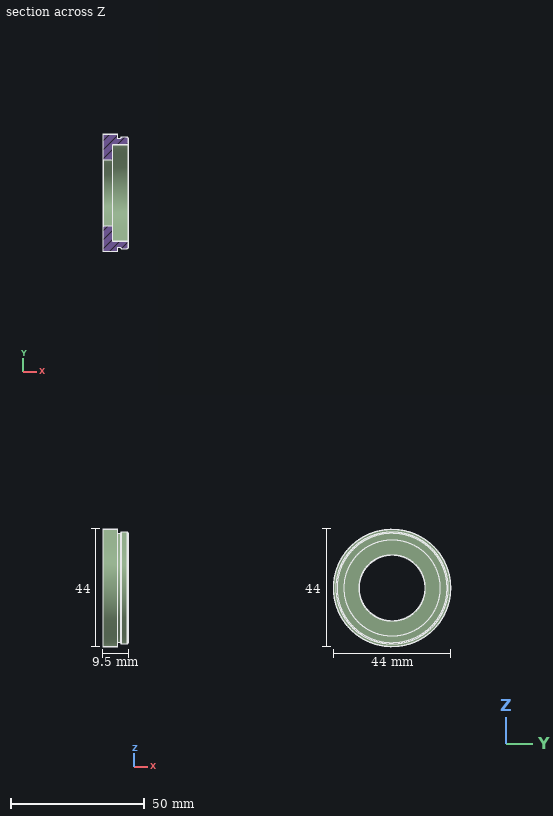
import cadquery as cq

flange_end = 5.45
neck_end = 6.5
total_length = 9.5

flange_diameter = 44
neck_diameter = 40.95
rim_diameter = 42.0

bore_diameter = 24.6
recess_diameter = 36.0
front_wall = 3.6

rim_front_length = 0.35
rim_rear_chamfer = 0.5
bore_chamfer = 0.25


def ring_body():
    """Flange, undercut neck and bevelled rim, revolved about the X axis."""
    flange_radius = flange_diameter / 2
    neck_radius = neck_diameter / 2
    rim_radius = rim_diameter / 2
    return (
        cq.Workplane("XY")
        .moveTo(0, 0)
        .lineTo(0, flange_radius)
        .lineTo(flange_end, flange_radius)
        .lineTo(flange_end, neck_radius)
        .lineTo(neck_end, neck_radius)
        .lineTo(neck_end + rim_front_length, rim_radius)
        .lineTo(total_length - rim_rear_chamfer, rim_radius)
        .lineTo(total_length, rim_radius - rim_rear_chamfer)
        .lineTo(total_length, 0)
        .close()
        .revolve(360, (0, 0), (1, 0))
    )


def stepped_opening():
    """Through bore with a chamfered front mouth and a wide rear recess."""
    bore_radius = bore_diameter / 2
    recess_radius = recess_diameter / 2
    return (
        cq.Workplane("XY")
        .moveTo(0, 0)
        .lineTo(0, bore_radius + bore_chamfer)
        .lineTo(bore_chamfer, bore_radius)
        .lineTo(front_wall, bore_radius)
        .lineTo(front_wall, recess_radius)
        .lineTo(total_length, recess_radius)
        .lineTo(total_length, 0)
        .close()
        .revolve(360, (0, 0), (1, 0))
    )


result = ring_body().cut(stepped_opening())